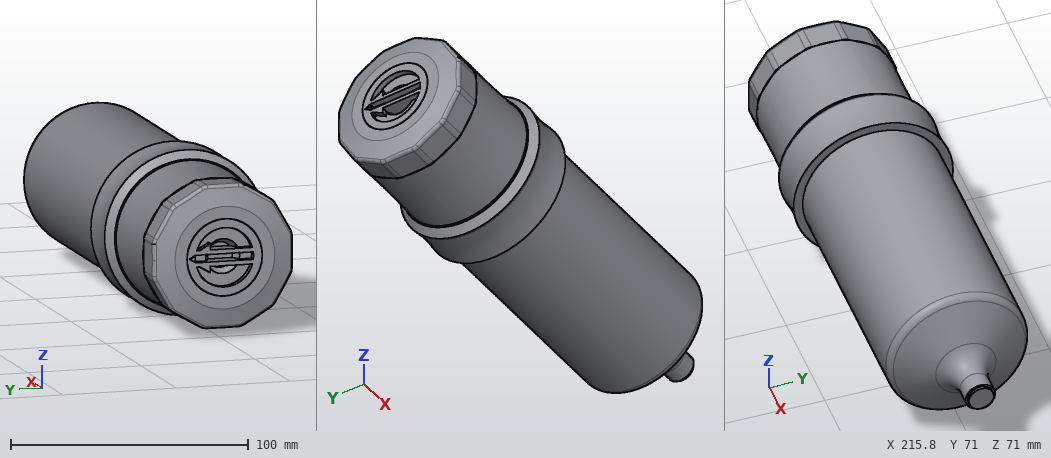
import cadquery as cq
import math

length = 215.8

cap_length = 15.3
flat_count = 12
across_flats = 61.7
corner_radius = 5.5
cap_face_radius = 22.0
crown_depth = 2.4
crown_radius = 30.9
crown_edge_radius = 1.7

grip_start_radius = 31.3
grip_waist_radius = 31.0
grip_end_x = 52.0
grip_end_radius = 31.7

collar_rim_radius = 32.2
collar_x = 56.1
collar_radius = 71.0 / 2
collar_land = 0.6
collar_waist_radius = 34.7
collar_end_x = 75.5

barrel_radius = 63.0 / 2
barrel_end_x = 183.0
shoulder_radius = 4.0
cone_angle = 61.5
spigot_radius = 13.2 / 2
spigot_start_x = 206.7
tip_length = 1.3
tip_radius = 5.6

dial_radius = 33.0 / 2
dial_gap_radius = 33.2 / 2
recess_radius = 12.7
recess_depth = 2.8
dial_gap_depth = recess_depth
pit_mouth_radius = 14.9 / 2
pit_floor_radius = 11.0 / 2
pit_depth = 6.7

arrow_half_width = 7.1 / 2
barb_back_y = 6.3
barb_front_y = 11.0
barb_half_width = 6.3
slot_half_width = 3.2 / 2
slot_tip_y = 15.3
slot_tip_depth = 1.0


def disc(radius, start_x, end_x):
    """Solid cylinder on the X axis between two stations."""
    return cq.Workplane("YZ", origin=(start_x, 0, 0)).circle(radius).extrude(end_x - start_x)


def plate(points, depth):
    """Plate with an outline of (y, z) points, reaching from the cap face to the depth."""
    return cq.Workplane("YZ").polyline(points).close().extrude(depth)


def make_cap():
    """Prism with rounded corners whose front is cut to a shallow cone and rounded."""
    prism = (
        cq.Workplane("YZ")
        .polygon(flat_count, across_flats, circumscribed=True)
        .extrude(cap_length)
        .edges("|X")
        .fillet(corner_radius)
    )
    crown_slope = (crown_radius - cap_face_radius) / crown_depth
    rim_radius = across_flats / 2 / math.cos(math.pi / flat_count)
    rim_x = (rim_radius - cap_face_radius) / crown_slope
    envelope = (
        cq.Workplane("XY")
        .moveTo(0, 0)
        .lineTo(0, cap_face_radius)
        .lineTo(rim_x, rim_radius)
        .lineTo(cap_length, rim_radius)
        .lineTo(cap_length, 0)
        .close()
        .revolve(360, (0, 0, 0), (1, 0, 0))
    )
    rim_zone = cq.selectors.BoxSelector(
        (crown_depth / 2, -rim_radius, -rim_radius), (cap_length / 2, rim_radius, rim_radius)
    )
    return prism.intersect(envelope).edges(rim_zone).edges("not |X").fillet(crown_edge_radius)


def make_body():
    """Grip, collar, barrel, cone and spigot as one turned profile."""
    angle = math.radians(cone_angle)
    sine = math.sin(angle)
    cosine = math.cos(angle)
    slope = math.tan(angle)

    cone_start_x = barrel_end_x + shoulder_radius * sine
    cone_start_radius = barrel_radius - shoulder_radius * (1 - cosine)
    shoulder_mid = (
        barrel_end_x + shoulder_radius * math.sin(angle / 2),
        barrel_radius - shoulder_radius * (1 - math.cos(angle / 2)),
    )

    cone_radius_at_spigot = cone_start_radius - slope * (spigot_start_x - cone_start_x)
    blend_radius = (spigot_radius - cone_radius_at_spigot) / (slope * sine - (1 - cosine))
    cone_end = (spigot_start_x - blend_radius * sine, spigot_radius + blend_radius * (1 - cosine))
    blend_mid = (
        spigot_start_x - blend_radius * math.sin(angle / 2),
        spigot_radius + blend_radius * (1 - math.cos(angle / 2)),
    )

    grip_mid_x = (cap_length + grip_end_x) / 2
    band_start_x = collar_x + collar_land
    band_mid_x = (band_start_x + collar_end_x) / 2
    tip_start_x = length - tip_length
    return (
        cq.Workplane("XY")
        .moveTo(cap_length, 0)
        .lineTo(cap_length, grip_start_radius)
        .threePointArc((grip_mid_x, grip_waist_radius), (grip_end_x, grip_end_radius))
        .lineTo(grip_end_x, collar_rim_radius)
        .lineTo(grip_end_x + collar_land, collar_rim_radius)
        .lineTo(collar_x, collar_radius)
        .lineTo(band_start_x, collar_radius)
        .threePointArc((band_mid_x, collar_waist_radius), (collar_end_x, collar_radius))
        .lineTo(collar_end_x, barrel_radius)
        .lineTo(barrel_end_x, barrel_radius)
        .threePointArc(shoulder_mid, (cone_start_x, cone_start_radius))
        .lineTo(*cone_end)
        .threePointArc(blend_mid, (spigot_start_x, spigot_radius))
        .lineTo(tip_start_x, spigot_radius)
        .lineTo(tip_start_x, tip_radius)
        .lineTo(length, tip_radius)
        .lineTo(length, 0)
        .close()
        .revolve(360, (0, 0, 0), (1, 0, 0))
    )


def make_dial_cut():
    """Gap around the dial, and the recess and pit around a slotted arrow."""
    gap = disc(dial_gap_radius, 0, dial_gap_depth).cut(disc(dial_radius, 0, dial_gap_depth))
    pit = (
        cq.Workplane("YZ", origin=(recess_depth, 0, 0))
        .circle(pit_mouth_radius)
        .workplane(offset=pit_depth - recess_depth)
        .circle(pit_floor_radius)
        .loft()
    )
    recess = disc(recess_radius, 0, recess_depth).union(pit)

    shaft = (
        cq.Workplane("YZ")
        .rect(2 * dial_radius, 2 * arrow_half_width)
        .rect(2 * dial_radius, 2 * slot_half_width)
        .extrude(pit_depth)
    )
    barbs = plate(
        [
            (barb_back_y, -barb_half_width),
            (barb_front_y, -arrow_half_width),
            (barb_front_y, -slot_half_width),
            (barb_back_y, -slot_half_width),
        ],
        pit_depth,
    )
    arrow = shaft.union(barbs).union(barbs.mirror("XY"))

    slot_end_y = math.sqrt(recess_radius**2 - slot_half_width**2)
    slot_tip = plate(
        [(slot_end_y, -slot_half_width), (slot_tip_y, 0), (slot_end_y, slot_half_width)],
        slot_tip_depth,
    )
    return recess.cut(arrow).union(slot_tip).union(gap)


result = make_cap().union(make_body()).cut(make_dial_cut())